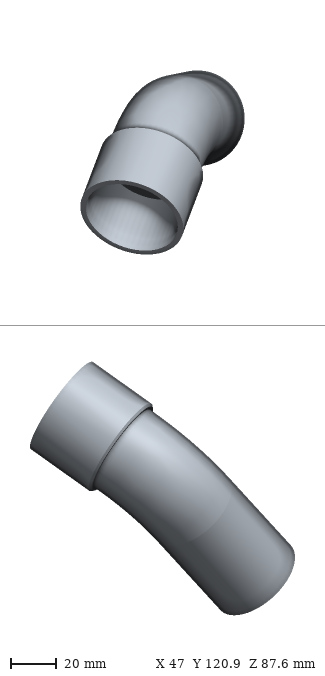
import cadquery as cq
import math

pipe_diameter = 42.0
socket_diameter = 47.0
socket_length = 33.0
socket_depth = 31.0
shoulder_chamfer = 1.0
neck_length = 3.0
bend_radius = 50.0
bend_angle = 45.0
tail_length = 49.0

bend_start_y = socket_length + neck_length


def point_on_bend(angle_degrees):
    """Centreline point (y, z) after turning through the given angle."""
    angle = math.radians(angle_degrees)
    y = bend_start_y + bend_radius * math.sin(angle)
    z = -bend_radius * (1 - math.cos(angle))
    return y, z


def make_socket():
    """Outer socket cylinder with its rear edge bevelled."""
    socket = cq.Workplane("XZ").circle(socket_diameter / 2).extrude(-socket_length)
    return socket.faces(">Y").edges().chamfer(shoulder_chamfer)


def make_pipe():
    """Solid pipe: straight through the socket, around the bend, down the tail."""
    bend_end_y, bend_end_z = point_on_bend(bend_angle)
    tail_end_y = bend_end_y + tail_length * math.cos(math.radians(bend_angle))
    tail_end_z = bend_end_z - tail_length * math.sin(math.radians(bend_angle))
    centreline = (
        cq.Workplane("YZ")
        .lineTo(bend_start_y, 0)
        .threePointArc(point_on_bend(bend_angle / 2), (bend_end_y, bend_end_z))
        .lineTo(tail_end_y, tail_end_z)
    )
    return cq.Workplane("XZ").circle(pipe_diameter / 2).sweep(centreline)


def make_bore():
    """Blind socket bore, the same diameter as the pipe."""
    return cq.Workplane("XZ").circle(pipe_diameter / 2).extrude(-socket_depth)


result = make_socket().union(make_pipe()).cut(make_bore())